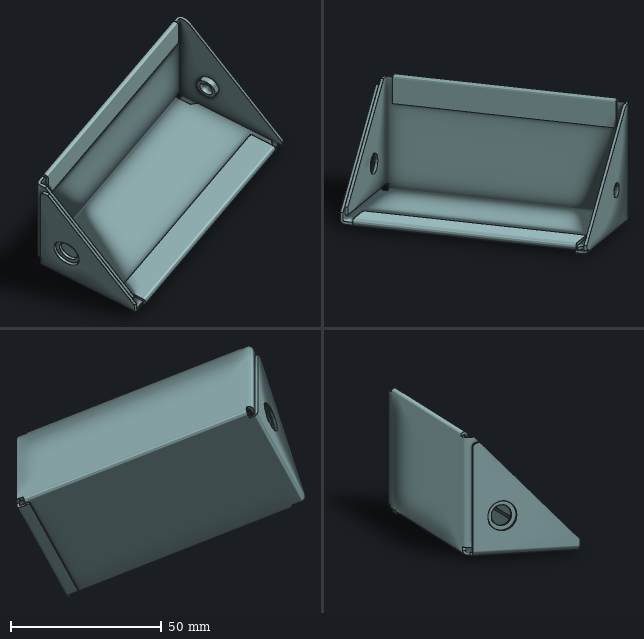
import cadquery as cq
import math

length = 88.0
height = 42.7
width = 41.6
sheet = 1.1
lap_gap = 0.1
bend_inner = 0.6
bend_outer = bend_inner + sheet

hem_gap = 0.4
hem_radius = sheet + hem_gap / 2
hem_leaf = 8.8
hem_front = 4.9
hem_back = 84.0

base_bottom = sheet + lap_gap
flange_front = sheet + lap_gap
wall_top = height - hem_radius
base_right = 40.0
diagonal_sum = width + 3.5
back_inner = length - sheet

relief_front = 3.0
relief_back = 84.8
flange_bottom = 4.05
back_bend_bottom = 3.0
lap_left = 2.6

flange_right = 38.4
lap_top = 39.7
lap_corner_radius = 1.85
back_top_radius = 3.7

base_back = 86.6
notch_width = 6.7
notch_corner_x = notch_width + base_back - relief_back
corner_cut = 2.3
tab_front = 83.3

hole_x = 12.9
hole_z = 14.4
bore_diameter = 5.0
flange_hole_diameter = 7.0
lap_hole_diameter = 10.0
bushing_diameter = 7.2
bushing_front = 84.75


def box(x0, x1, y0, y1, z0, z1):
    return cq.Workplane("XY").box(x1 - x0, y1 - y0, z1 - z0, centered=False).translate((x0, y0, z0))


def arc_strip(plane, centre, inner, start_angle, sweep, start, end):
    """Curved sheet whose bend axis is normal to the plane, between two stations on that axis."""
    def point(radius, angle):
        turn = math.radians(angle)
        return (centre[0] + radius * math.cos(turn), centre[1] + radius * math.sin(turn))

    outer = inner + sheet
    middle_angle = start_angle + sweep / 2
    end_angle = start_angle + sweep
    direction = -1 if plane == "XZ" else 1
    return (
        cq.Workplane(plane)
        .workplane(offset=direction * start)
        .moveTo(*point(outer, start_angle))
        .threePointArc(point(outer, middle_angle), point(outer, end_angle))
        .lineTo(*point(inner, end_angle))
        .threePointArc(point(inner, middle_angle), point(inner, start_angle))
        .close()
        .extrude(direction * (end - start))
    )


def bend(plane, centre, start_angle, start, end):
    return arc_strip(plane, centre, bend_inner, start_angle, 90, start, end)


def end_plate(points, front):
    """Sheet with an XZ outline whose front face is at Y = front."""
    return cq.Workplane("XZ", origin=(0, front, 0)).polyline(points).close().extrude(-sheet)


def y_cylinder(diameter, front, back):
    return (
        cq.Workplane("XZ", origin=(hole_x, front, hole_z))
        .circle(diameter / 2)
        .extrude(front - back)
    )


def side_wall():
    wall = box(0, sheet, flange_front + bend_outer, length - bend_outer, base_bottom + bend_outer, wall_top)
    hem = arc_strip("XZ", (hem_radius, wall_top), hem_gap / 2, 0, 180, hem_front, hem_back)
    leaf_left = sheet + hem_gap
    leaf = box(leaf_left, leaf_left + sheet, hem_front, hem_back, wall_top - hem_leaf, wall_top)
    lower_bend = bend("XZ", (bend_outer, base_bottom + bend_outer), 180, relief_front, relief_back)
    return wall.union(hem).union(leaf).union(lower_bend)


def base():
    outline = [
        (lap_left, bend_outer),
        (base_right, bend_outer),
        (base_right, base_back - corner_cut),
        (base_right - corner_cut, base_back),
        (notch_corner_x, base_back),
        (notch_width, relief_back),
        (bend_outer, relief_back),
        (bend_outer, relief_front),
        (lap_left, relief_front),
    ]
    floor = cq.Workplane("XY", origin=(0, 0, base_bottom)).polyline(outline).close().extrude(sheet)
    hem_axis = (base_right, base_bottom + hem_radius)
    hem = arc_strip("XZ", hem_axis, hem_gap / 2, -90, 180, hem_front, hem_back)
    leaf_bottom = base_bottom + sheet + hem_gap
    leaf = box(base_right - hem_leaf, base_right, hem_front, hem_back, leaf_bottom, leaf_bottom + sheet)
    return floor.union(hem).union(leaf)


def front_flange():
    """Front triangle folded from the side wall."""
    plate = end_plate(
        [
            (bend_outer, flange_bottom),
            (flange_right, flange_bottom),
            (flange_right, diagonal_sum - flange_right),
            (diagonal_sum - wall_top, wall_top),
            (bend_outer, wall_top),
        ],
        flange_front,
    )
    corner = bend("XY", (bend_outer, flange_front + bend_outer), 180, flange_bottom, wall_top)
    hole = y_cylinder(flange_hole_diameter, flange_front, flange_front + sheet)
    return plate.union(corner).cut(hole)


def front_lap():
    """Outer front triangle folded up from the base."""
    bottom = base_bottom + bend_outer
    plate = end_plate(
        [
            (lap_left, bottom),
            (base_right, bottom),
            (base_right, diagonal_sum - base_right),
            (diagonal_sum - lap_top, lap_top),
            (lap_left, lap_top),
        ],
        0,
    )
    plate = plate.edges("|Y and <X and >Z").fillet(lap_corner_radius)
    fold = bend("YZ", (bend_outer, bottom), 180, lap_left, base_right)
    hole = y_cylinder(lap_hole_diameter, 0, sheet)
    return plate.union(fold).cut(hole)


def back_end():
    """Back triangle folded from the side wall, with a tab turned under the base."""
    plate = end_plate(
        [
            (bend_outer, bend_outer),
            (width, bend_outer),
            (width, diagonal_sum - width),
            (diagonal_sum - wall_top, wall_top),
            (bend_outer, wall_top),
        ],
        back_inner,
    )
    top_corner = cq.selectors.NearestToPointSelector(
        (diagonal_sum - wall_top, length - sheet / 2, wall_top)
    )
    plate = plate.edges("|Y").edges(top_corner).fillet(back_top_radius)
    bend_y = length - bend_outer
    corner = bend("XY", (bend_outer, bend_y), 90, back_bend_bottom, wall_top)
    tab_bend = bend("YZ", (bend_y, bend_outer), 270, bend_outer, base_right)
    tab = box(bend_outer, base_right, tab_front, bend_y, 0, sheet)
    bushing = y_cylinder(bushing_diameter, bushing_front, length)
    bore = y_cylinder(bore_diameter, bushing_front, length)
    return plate.union(corner).union(tab_bend).union(tab).union(bushing).cut(bore)


result = side_wall().union(base()).union(front_flange()).union(front_lap()).union(back_end())